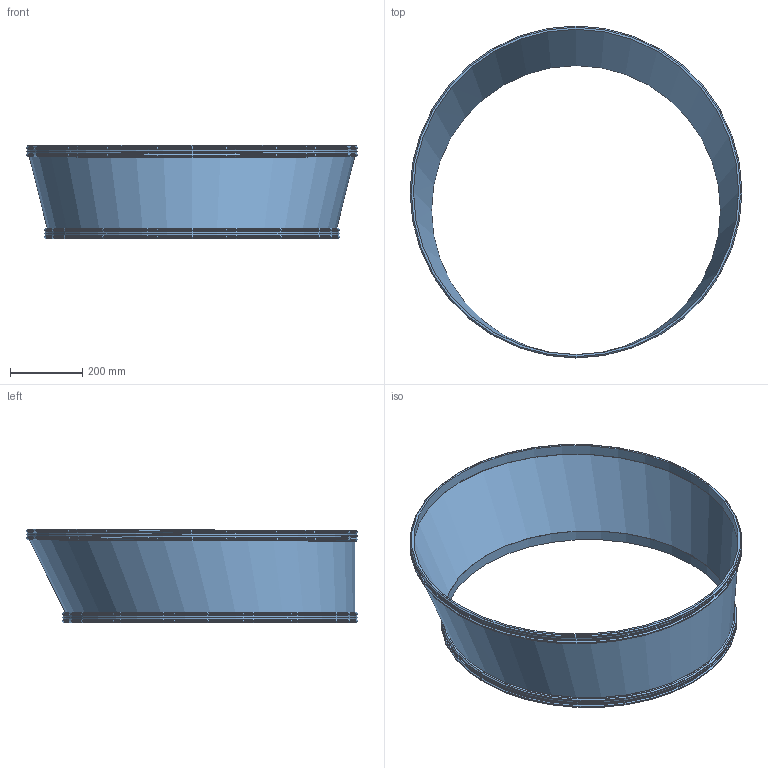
import cadquery as cq
import math

SMALL_BORE = 800.0
LARGE_BORE = 900.0
CONE_BACK_HEIGHT = 200.0
CONE_WALL = 0.6

SLEEVE_WALL = 5.9
LIP_HEIGHT = 3.3
LIP_BASE_WIDTH = 8.4
LIP_TIP_WIDTH = 2.4
LIP_END_GAP = 0.6
RIB_HEIGHT = 3.4
RIB_WIDTH = 1.0
RING_HEIGHT = 29.4

TILT = 0.23
TILT_ANGLE = math.radians(TILT)
CONE_BOTTOM = RING_HEIGHT
LARGE_SLEEVE_RADIUS = LARGE_BORE / 2 + SLEEVE_WALL
CONE_TOP = CONE_BOTTOM + CONE_BACK_HEIGHT - LARGE_SLEEVE_RADIUS * math.sin(TILT_ANGLE)

SMALL_END_Y = -(LARGE_BORE - SMALL_BORE) / 2

LARGE_CENTER = (0, 0, CONE_TOP)
LARGE_AXIS = (0, -math.sin(TILT_ANGLE), math.cos(TILT_ANGLE))
SMALL_END = cq.Plane(origin=(0, SMALL_END_Y, CONE_BOTTOM), xDir=(1, 0, 0), normal=(0, 0, 1))
LARGE_END = cq.Plane(origin=LARGE_CENTER, xDir=(1, 0, 0), normal=LARGE_AXIS)


def end_ring(bore):
    """Sleeve with its lips and rib around the outside, standing on the XY plane."""
    inner = bore / 2
    outer = inner + SLEEVE_WALL
    lip_tip = outer + LIP_HEIGHT
    rib_tip = outer + RIB_HEIGHT

    lip_offset = LIP_END_GAP + LIP_BASE_WIDTH / 2
    projections = [
        (lip_offset, lip_tip, LIP_BASE_WIDTH, LIP_TIP_WIDTH),
        (RING_HEIGHT / 2, rib_tip, RIB_WIDTH, RIB_WIDTH),
        (RING_HEIGHT - lip_offset, lip_tip, LIP_BASE_WIDTH, LIP_TIP_WIDTH),
    ]

    profile = cq.Workplane("XZ").moveTo(inner, 0).lineTo(outer, 0)
    for middle, tip, base_width, tip_width in projections:
        profile = profile.lineTo(outer, middle - base_width / 2)
        profile = profile.lineTo(tip, middle - tip_width / 2)
        profile = profile.lineTo(tip, middle + tip_width / 2)
        profile = profile.lineTo(outer, middle + base_width / 2)
    profile = profile.lineTo(outer, RING_HEIGHT).lineTo(inner, RING_HEIGHT).close()

    return profile.revolve(360, (0, 0, 0), (0, 1, 0))


def slanted_cone(small_diameter, large_diameter):
    """Solid eccentric cone between the two ring faces, its top in the tilted plane."""
    small_rim = cq.Workplane(SMALL_END).circle(small_diameter / 2).wire().val()
    large_rim = cq.Workplane(LARGE_END).circle(large_diameter / 2).wire().val()
    return cq.Workplane(cq.Solid.makeLoft([small_rim, large_rim], True))


def cone_shell():
    """Thin eccentric cone whose inside meets the bores of both rings."""
    outside = slanted_cone(SMALL_BORE + 2 * CONE_WALL, LARGE_BORE + 2 * CONE_WALL)
    inside = slanted_cone(SMALL_BORE, LARGE_BORE)
    return outside.cut(inside)


small_ring = end_ring(SMALL_BORE).translate((0, SMALL_END_Y, 0))
large_ring = end_ring(LARGE_BORE).rotate((0, 0, 0), (1, 0, 0), TILT).translate(LARGE_CENTER)
cone = cone_shell()

result = cq.Compound.makeCompound([small_ring.val(), cone.val(), large_ring.val()])